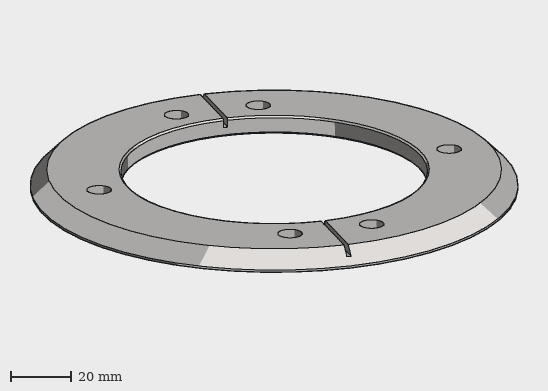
import cadquery as cq
import math

outer_radius = 81.0
thickness = 6.3
rim_height = 0.8
bevel_width = 5.5
top_radius = outer_radius - bevel_width

bore_radius = 50.8
bore_chamfer = 0.6

hole_diameter = 8.1
bolt_circle_radius = 61.2
side_hole_angle = 13.5
hole_angles = [side_hole_angle, 90, 180 - side_hole_angle]

groove_width = 1.5
groove_depth = 3.0


def ring_body():
    """Revolve the bevelled cross-section about Z, with its base at Z = 0."""
    section = [
        (bore_radius, bore_chamfer),
        (bore_radius + bore_chamfer, 0),
        (outer_radius, 0),
        (outer_radius, rim_height),
        (top_radius, thickness),
        (bore_radius + bore_chamfer, thickness),
        (bore_radius, thickness - bore_chamfer),
    ]
    return cq.Workplane("XZ").polyline(section).close().revolve(360, (0, 0, 0), (0, 1, 0))


def bolt_holes():
    """Through-hole cutters on the bolt circle, mirrored across the groove."""
    centers = []
    for angle in hole_angles:
        x = bolt_circle_radius * math.cos(math.radians(angle))
        y = bolt_circle_radius * math.sin(math.radians(angle))
        centers += [(x, y), (x, -y)]
    return cq.Workplane("XY").pushPoints(centers).circle(hole_diameter / 2).extrude(thickness)


def dividing_groove():
    """Straight cutter that crosses both sides of the ring at the top face."""
    return (
        cq.Workplane("XY")
        .workplane(offset=thickness - groove_depth)
        .rect(2 * outer_radius, groove_width)
        .extrude(groove_depth)
    )


result = ring_body().cut(bolt_holes()).cut(dividing_groove())